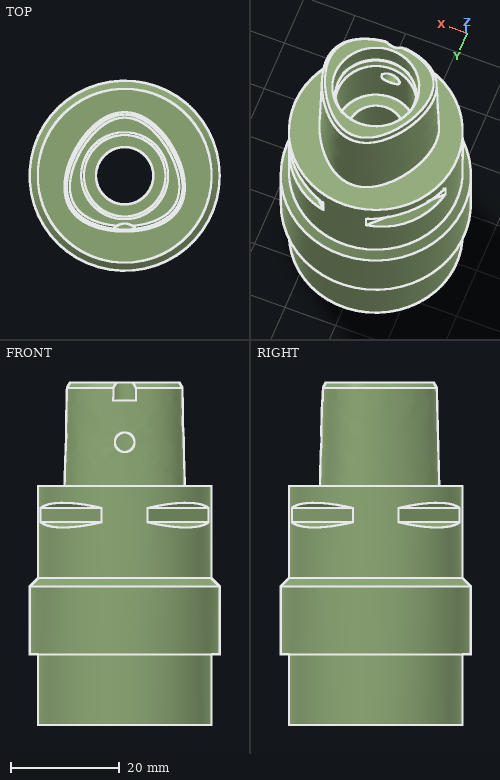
import cadquery as cq
import math

BODY_DIA = 32.0
COLLAR_DIA = 35.0
COLLAR_BOTTOM_Z = 13.0
COLLAR_TOP_Z = 27.0
COLLAR_CHAMFER = (COLLAR_DIA - BODY_DIA) / 2
FLANGE_Z = 44.0
TOTAL_HEIGHT = 63.0

SHANK_DIA = 22.0
SHANK_ECCENTRICITY = 0.7
DIAMETER_TAPER = 1 / 20
TIP_CHAMFER_HEIGHT = 1.0
TIP_CHAMFER_ANGLE = 30.0
CURVE_POINTS = 36

ENTRY_DIA = 16.0
BORE_DIA = 15.0
GROOVE_DIA = 16.5
THROUGH_DIA = 10.5
ENTRY_DEPTH = 2.0
GROOVE_TOP_DEPTH = 4.0
GROOVE_BOTTOM_DEPTH = 6.0
GROOVE_CHAMFER = (GROOVE_DIA - BORE_DIA) / 2
BORE_FLOOR_Z = FLANGE_Z

SLOT_COUNT = 4
SLOT_START_ANGLE = 45.0
SLOT_DROP = 5.4
SLOT_Z = FLANGE_Z - SLOT_DROP
SLOT_FLAT_HEIGHT = 2.6
SLOT_FLAT_RADIUS = 13.9
SLOT_SIDE_ANGLE = 25.0

NOTCH_RADIUS = 2.75
NOTCH_WALL_Y = -8.8
NOTCH_DEPTH = 3.35
SIDE_HOLE_DIA = 3.6
SIDE_HOLE_Z = 52.0


def shank_section(z, mean_dia):
    """Closed smooth wire at height z, a circle with a second harmonic that gives it three lobes."""
    points = []
    for index in range(CURVE_POINTS):
        angle = 2 * math.pi * index / CURVE_POINTS
        x = mean_dia / 2 * math.sin(angle) - SHANK_ECCENTRICITY * math.sin(2 * angle)
        y = mean_dia / 2 * math.cos(angle) + SHANK_ECCENTRICITY * math.cos(2 * angle)
        points.append(cq.Vector(x, y, z))
    curve = cq.Edge.makeSpline(points, periodic=True)
    return cq.Wire.assembleEdges([curve])


def make_body():
    body_r = BODY_DIA / 2
    collar_r = COLLAR_DIA / 2
    profile = [
        (0, 0),
        (body_r, 0),
        (body_r, COLLAR_BOTTOM_Z),
        (collar_r, COLLAR_BOTTOM_Z),
        (collar_r, COLLAR_TOP_Z - COLLAR_CHAMFER),
        (body_r, COLLAR_TOP_Z),
        (body_r, FLANGE_Z),
        (0, FLANGE_Z),
    ]
    return cq.Workplane("XZ").polyline(profile).close().revolve(360, (0, 0), (0, 1))


def make_shank():
    chamfer_z = TOTAL_HEIGHT - TIP_CHAMFER_HEIGHT
    chamfer_dia = SHANK_DIA - DIAMETER_TAPER * (chamfer_z - FLANGE_Z)
    tip_dia = chamfer_dia - 2 * TIP_CHAMFER_HEIGHT * math.tan(math.radians(TIP_CHAMFER_ANGLE))
    root = shank_section(FLANGE_Z, SHANK_DIA)
    chamfer_start = shank_section(chamfer_z, chamfer_dia)
    tip = shank_section(TOTAL_HEIGHT, tip_dia)
    return cq.Workplane(cq.Solid.makeLoft([root, chamfer_start, tip], True))


def make_bore():
    bore_r = BORE_DIA / 2
    groove_r = GROOVE_DIA / 2
    through_r = THROUGH_DIA / 2
    groove_top_z = TOTAL_HEIGHT - GROOVE_TOP_DEPTH
    groove_bottom_z = TOTAL_HEIGHT - GROOVE_BOTTOM_DEPTH
    profile = [
        (0, 0),
        (through_r, 0),
        (through_r, BORE_FLOOR_Z),
        (bore_r, BORE_FLOOR_Z),
        (bore_r, groove_bottom_z - GROOVE_CHAMFER),
        (groove_r, groove_bottom_z),
        (groove_r, groove_top_z),
        (bore_r, groove_top_z),
        (bore_r, TOTAL_HEIGHT - ENTRY_DEPTH),
        (ENTRY_DIA / 2, TOTAL_HEIGHT),
        (0, TOTAL_HEIGHT),
    ]
    return cq.Workplane("XZ").polyline(profile).close().revolve(360, (0, 0), (0, 1))


def make_slot(angle):
    """Trapezoidal cutter that widens outward from the slot flat, at the given angle from +X."""
    outer_r = COLLAR_DIA / 2
    inner_half = SLOT_FLAT_HEIGHT / 2
    flare = (outer_r - SLOT_FLAT_RADIUS) * math.tan(math.radians(SLOT_SIDE_ANGLE))
    outer_half = inner_half + flare
    profile = [
        (SLOT_FLAT_RADIUS, SLOT_Z - inner_half),
        (outer_r, SLOT_Z - outer_half),
        (outer_r, SLOT_Z + outer_half),
        (SLOT_FLAT_RADIUS, SLOT_Z + inner_half),
    ]
    slot = cq.Workplane("XZ").polyline(profile).close().extrude(BODY_DIA / 2, both=True)
    return slot.rotate((0, 0, 0), (0, 0, 1), angle)


def make_notch():
    notch = cq.Workplane("XY", origin=(0, NOTCH_WALL_Y - NOTCH_RADIUS, TOTAL_HEIGHT - NOTCH_DEPTH))
    return notch.circle(NOTCH_RADIUS).extrude(NOTCH_DEPTH)


def make_side_hole():
    """Radial hole from the -Y side that opens into the bore."""
    hole = cq.Workplane("XZ", origin=(0, 0, SIDE_HOLE_Z))
    return hole.circle(SIDE_HOLE_DIA / 2).extrude(SHANK_DIA)


result = make_body().union(make_shank()).cut(make_bore())
for index in range(SLOT_COUNT):
    result = result.cut(make_slot(SLOT_START_ANGLE + index * 360 / SLOT_COUNT))
result = result.cut(make_notch()).cut(make_side_hole())